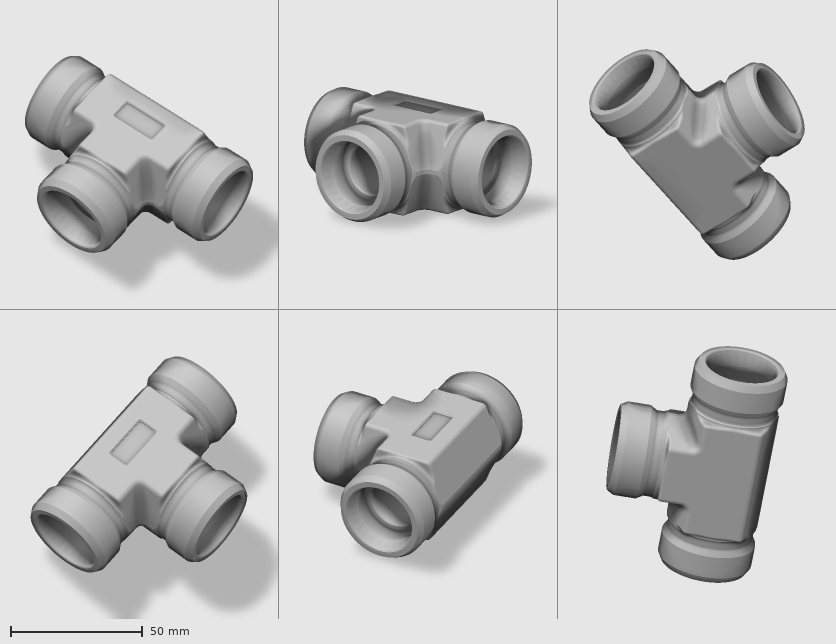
import cadquery as cq
import math


half_height = 18.0
ridge_half_width = 17.4
ridge_half_height = 0.85
side_angle = 20.0
top_half_width = ridge_half_width - (half_height - ridge_half_height) * math.tan(math.radians(side_angle))
top_edge_radius = 2.0
inner_corner_radius = 3.0

end_face = 23.0
end_edge_radius = 1.0
collar_radius = 17.15
collar_length = 0.25
collar_flare = 1.1
flare_edge = end_face + collar_flare
collar_edge = flare_edge + collar_length
flare_radius = collar_radius + collar_flare

port_face = 42.0
thread_radius = 18.0
neck_radius = 16.45
chamfer_angle = 30.0
lead_chamfer_height = 1.5
lead_chamfer_length = lead_chamfer_height / math.tan(math.radians(chamfer_angle))
thread_start = 30.75
neck_end = thread_start - (thread_radius - neck_radius) / math.tan(math.radians(chamfer_angle))
neck_root_radius = 1.15
root_angle = math.acos(1 - (collar_radius - neck_radius) / neck_root_radius)
collar_end = collar_edge + neck_root_radius * math.sin(root_angle)
relief_corner_radius = 1.0

bore_radius = 9.5
bore_chamfer = 0.5
socket_radius = 12.61
socket_depth = 12.0
mouth_radius = 13.95
mouth_half_angle = 12.0
mouth_depth = (mouth_radius - socket_radius) / math.tan(math.radians(mouth_half_angle))
mouth_chamfer = 0.35

recess_length = 19.0
recess_width = 8.9
recess_center_y = 0.3
recess_lip = 0.55
recess_wall = 0.3
recess_corner_radius = 1.0
recess_lip_angle = 45.0

PORT_ANGLES = (0, 180, -90)

TOLERANCE = 0.01


def turn(shape, angle):
    return shape.rotate((0, 0, 0), (0, 0, 1), angle)


def body_prism(start, end):
    """Hexagon-like bar along X with flat ridges at mid height."""
    corners = [
        (top_half_width, half_height),
        (ridge_half_width, ridge_half_height),
        (ridge_half_width, -ridge_half_height),
        (top_half_width, -half_height),
        (-top_half_width, -half_height),
        (-ridge_half_width, -ridge_half_height),
        (-ridge_half_width, ridge_half_height),
        (-top_half_width, half_height),
    ]
    return cq.Workplane("YZ", origin=(start, 0, 0)).polyline(corners).close().extrude(end - start)


def axial_distance(point):
    """Distance of a point from the centre along the nearest of the three port axes."""
    return max(abs(point.x), -point.y)


def lies_at_height(edge, height):
    return abs(abs(edge.Center().z) - height) < TOLERANCE


def is_inner_corner(edge):
    """Creases between the branch and the run."""
    center = edge.Center()
    on_diagonal = abs(abs(center.x) - abs(center.y)) < TOLERANCE
    return on_diagonal and center.y < 0 and not lies_at_height(edge, half_height)


def is_long_top_edge(edge):
    """Edges of the top and bottom faces, except those on the three port ends."""
    on_port_end = abs(axial_distance(edge.Center()) - collar_end) < TOLERANCE
    return lies_at_height(edge, half_height) and not on_port_end


def is_end_outline(edge):
    """Outer edges of the flat corner faces beside each collar."""
    points = (edge.startPoint(), edge.Center(), edge.endPoint())
    on_end_face = all(abs(axial_distance(point) - end_face) < TOLERANCE for point in points)
    on_flare = edge.geomType() == "CIRCLE" and abs(edge.radius() - flare_radius) < TOLERANCE
    return on_end_face and not on_flare


def fillet_where(shape, condition, radius):
    solid = shape.val().Solids()[0]
    edges = [edge for edge in solid.Edges() if condition(edge)]
    filleted = solid.fillet(radius, edges).fix()
    return cq.Workplane(filleted.Solids()[0])


def collar_trim():
    """Ring cut off the body end, leaving a flared collar and flat corner faces."""
    flare_inset = collar_flare * (1 - math.sqrt(0.5))
    flare_middle = (end_face + flare_inset, collar_radius + flare_inset)
    root_middle = (
        collar_end - neck_root_radius * math.sin(root_angle / 2),
        neck_radius + neck_root_radius * (1 - math.cos(root_angle / 2)),
    )
    outside = 2 * thread_radius
    return (
        cq.Workplane("XY")
        .moveTo(end_face, flare_radius)
        .threePointArc(flare_middle, (flare_edge, collar_radius))
        .lineTo(collar_edge, collar_radius)
        .threePointArc(root_middle, (collar_end, neck_radius))
        .lineTo(collar_end, outside)
        .lineTo(end_face, outside)
        .close()
        .revolve(360, (0, 0, 0), (1, 0, 0))
    )


def forged_body():
    run = body_prism(-collar_end, collar_end)
    branch = turn(body_prism(0, collar_end), PORT_ANGLES[-1])
    body = run.union(branch)
    body = fillet_where(body, is_inner_corner, inner_corner_radius)
    body = fillet_where(body, is_long_top_edge, top_edge_radius)
    for angle in PORT_ANGLES:
        body = body.cut(turn(collar_trim(), angle))
    return fillet_where(body, is_end_outline, end_edge_radius)


def threaded_end():
    relief_slope = math.radians(chamfer_angle)
    relief_tangent = relief_corner_radius * math.tan(relief_slope / 2)
    relief_end = neck_end + relief_tangent * math.cos(relief_slope)
    relief_end_radius = neck_radius + relief_tangent * math.sin(relief_slope)

    profile = (
        cq.Workplane("XY")
        .lineTo(0, neck_radius)
        .lineTo(neck_end - relief_tangent, neck_radius)
        .tangentArcPoint((relief_end, relief_end_radius), relative=False)
        .lineTo(thread_start, thread_radius)
        .lineTo(port_face - lead_chamfer_length, thread_radius)
        .lineTo(port_face, thread_radius - lead_chamfer_height)
        .lineTo(port_face, 0)
        .close()
    )
    return profile.revolve(360, (0, 0, 0), (1, 0, 0))


def port_cavity():
    socket_floor = port_face - socket_depth
    return (
        cq.Workplane("XY")
        .lineTo(0, bore_radius)
        .lineTo(socket_floor - bore_chamfer, bore_radius)
        .lineTo(socket_floor, bore_radius + bore_chamfer)
        .lineTo(socket_floor, socket_radius)
        .lineTo(port_face - mouth_depth, socket_radius)
        .lineTo(port_face - mouth_chamfer, mouth_radius)
        .lineTo(port_face, mouth_radius + mouth_chamfer)
        .lineTo(port_face, 0)
        .close()
        .revolve(360, (0, 0, 0), (1, 0, 0))
    )


def recess_layer(top, length, width, depth, taper):
    return (
        cq.Workplane("XY", origin=(0, recess_center_y, top))
        .sketch()
        .rect(length, width)
        .vertices()
        .fillet(recess_corner_radius)
        .finalize()
        .extrude(-depth, taper=taper)
    )


def marking_recess():
    inset = recess_lip * math.tan(math.radians(recess_lip_angle))
    floor_length = recess_length - 2 * inset
    floor_width = recess_width - 2 * inset
    lip = recess_layer(half_height, recess_length, recess_width, recess_lip, recess_lip_angle)
    floor = recess_layer(half_height, floor_length, floor_width, recess_lip + recess_wall, 0)
    return lip.union(floor)


result = forged_body()
for angle in PORT_ANGLES:
    result = result.union(turn(threaded_end(), angle))
for angle in PORT_ANGLES:
    result = result.cut(turn(port_cavity(), angle))
result = result.cut(marking_recess())